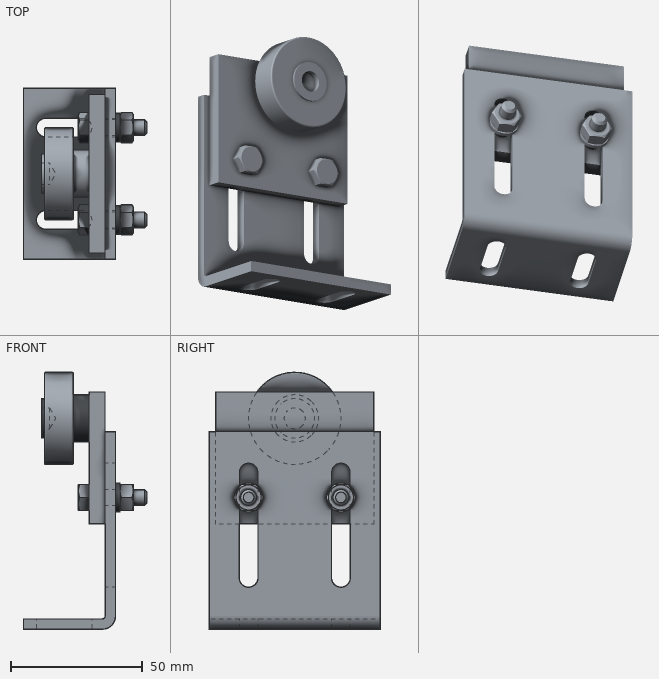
import cadquery as cq
import math

bracket_length = 35.0
bracket_width = 65.0
bracket_height = 75.0
sheet = 4.0
bend_inner_radius = 1.0
bend_outer_radius = bend_inner_radius + sheet
bracket_inner_x = bracket_length - sheet

slot_width = 7.0
slot_pitch = 35.0
foot_slot_margin = 5.0
upright_slot_margin = 12.0

plate_thickness = 6.0
plate_width = 60.0
plate_height = 50.0
plate_bottom = 40.0
plate_front_x = bracket_inner_x - plate_thickness

roller_axis_z = 80.0
roller_diameter = 35.0
roller_length = 11.0
roller_edge_radius = 0.6
spacer_diameter = 18.0
spacer_length = 6.0
hub_diameter = 15.0
hub_projection = 1.0
bore_diameter = 8.0
bore_wall_depth = 3.0
bore_tip_angle = 120.0
roller_back_x = plate_front_x - spacer_length
roller_front_x = roller_back_x - roller_length
hub_front_x = roller_front_x - hub_projection

bolt_z = 50.0
bolt_diameter = 6.0
bolt_end_x = 47.0
bolt_end_chamfer = 1.0
hex_flats = 10.0
hex_corners = hex_flats / math.cos(math.radians(30))
hex_chamfer_angle = 30.0
hex_chamfer_diameter = 9.5
head_height = 4.2
washer_diameter = 11.0
washer_thickness = 1.6
nut_height = 5.2


def revolve_x(points, y, z):
    """Solid of revolution about the X axis line at (y, z), from (x, radius) points."""
    profile = cq.Workplane("XY", origin=(0, y, z)).polyline(points).close()
    return profile.revolve(360, (0, 0, 0), (1, 0, 0))


def cylinder_x(diameter, x_start, x_end, y, z):
    """Solid cylinder along X between two X positions."""
    radius = diameter / 2
    return revolve_x([(x_start, 0), (x_start, radius), (x_end, radius), (x_end, 0)], y, z)


def make_bracket():
    """L-shaped sheet with a rounded bend and two slots in each leg."""
    sharp_angle = (
        cq.Workplane("XZ", origin=(0, bracket_width / 2, 0))
        .polyline([
            (0, 0),
            (bracket_length, 0),
            (bracket_length, bracket_height),
            (bracket_inner_x, bracket_height),
            (bracket_inner_x, sheet),
            (0, sheet),
        ])
        .close()
        .extrude(bracket_width)
    )
    outer_corner = cq.selectors.NearestToPointSelector((bracket_length, 0, 0))
    inner_corner = cq.selectors.NearestToPointSelector((bracket_inner_x, 0, sheet))
    bracket = sharp_angle.edges(outer_corner).fillet(bend_outer_radius)
    bracket = bracket.edges(inner_corner).fillet(bend_inner_radius)

    foot_slots = (
        cq.Workplane("XY", origin=(bracket_inner_x / 2, 0, 0))
        .pushPoints([(0, -slot_pitch / 2), (0, slot_pitch / 2)])
        .slot2D(bracket_inner_x - 2 * foot_slot_margin, slot_width)
        .extrude(sheet)
    )
    upright_slots = (
        cq.Workplane("YZ", origin=(bracket_inner_x, 0, (sheet + bracket_height) / 2))
        .pushPoints([(-slot_pitch / 2, 0), (slot_pitch / 2, 0)])
        .slot2D(bracket_height - sheet - 2 * upright_slot_margin, slot_width, 90)
        .extrude(sheet)
    )
    return bracket.cut(foot_slots).cut(upright_slots)


def make_plate():
    """Flat carrier plate."""
    return cq.Workplane("XY", origin=(plate_front_x, 0, plate_bottom)).box(
        plate_thickness, plate_width, plate_height, centered=(False, True, False)
    )


def make_roller():
    """Roller with rounded rims, its spacer and a hub with a blind centre hole that ends in a cone."""
    roller = cylinder_x(roller_diameter, roller_front_x, roller_back_x, 0, roller_axis_z)
    roller = roller.edges().fillet(roller_edge_radius)
    spacer = cylinder_x(spacer_diameter, roller_back_x, plate_front_x, 0, roller_axis_z)
    hub = cylinder_x(hub_diameter, hub_front_x, roller_front_x, 0, roller_axis_z)
    bore_radius = bore_diameter / 2
    bore_wall_end_x = hub_front_x + bore_wall_depth
    bore_tip_length = bore_radius / math.tan(math.radians(bore_tip_angle / 2))
    bore = revolve_x(
        [
            (hub_front_x, 0),
            (hub_front_x, bore_radius),
            (bore_wall_end_x, bore_radius),
            (bore_wall_end_x + bore_tip_length, 0),
        ],
        0,
        roller_axis_z,
    )
    return roller.union(spacer).union(hub).cut(bore)


def make_hexagon(x_start, x_end, y, chamfer_start, chamfer_end):
    """Hexagonal prism along X with corners bevelled by cones at the chosen ends."""
    prism = (
        cq.Workplane("YZ", origin=(x_start, y, bolt_z))
        .polygon(6, hex_corners)
        .extrude(x_end - x_start)
    )
    corner_radius = hex_corners / 2
    face_radius = hex_chamfer_diameter / 2
    bevel = (corner_radius - face_radius) * math.tan(math.radians(hex_chamfer_angle))
    envelope = [(x_start, 0)]
    if chamfer_start:
        envelope += [(x_start, face_radius), (x_start + bevel, corner_radius)]
    else:
        envelope += [(x_start, corner_radius)]
    if chamfer_end:
        envelope += [(x_end - bevel, corner_radius), (x_end, face_radius)]
    else:
        envelope += [(x_end, corner_radius)]
    envelope += [(x_end, 0)]
    return prism.intersect(revolve_x(envelope, y, bolt_z))


def make_bolt(y):
    """Hex bolt with washer and nut."""
    radius = bolt_diameter / 2
    shank = revolve_x(
        [
            (plate_front_x, 0),
            (plate_front_x, radius),
            (bolt_end_x - bolt_end_chamfer, radius),
            (bolt_end_x, radius - bolt_end_chamfer),
            (bolt_end_x, 0),
        ],
        y,
        bolt_z,
    )
    washer_end_x = bracket_length + washer_thickness
    head = make_hexagon(plate_front_x - head_height, plate_front_x, y, True, False)
    washer = cylinder_x(washer_diameter, bracket_length, washer_end_x, y, bolt_z)
    nut = make_hexagon(washer_end_x, washer_end_x + nut_height, y, True, True)
    return shank.union(head).union(washer).union(nut)


result = make_bracket().union(make_plate()).union(make_roller())
for bolt_y in (-slot_pitch / 2, slot_pitch / 2):
    result = result.union(make_bolt(bolt_y))